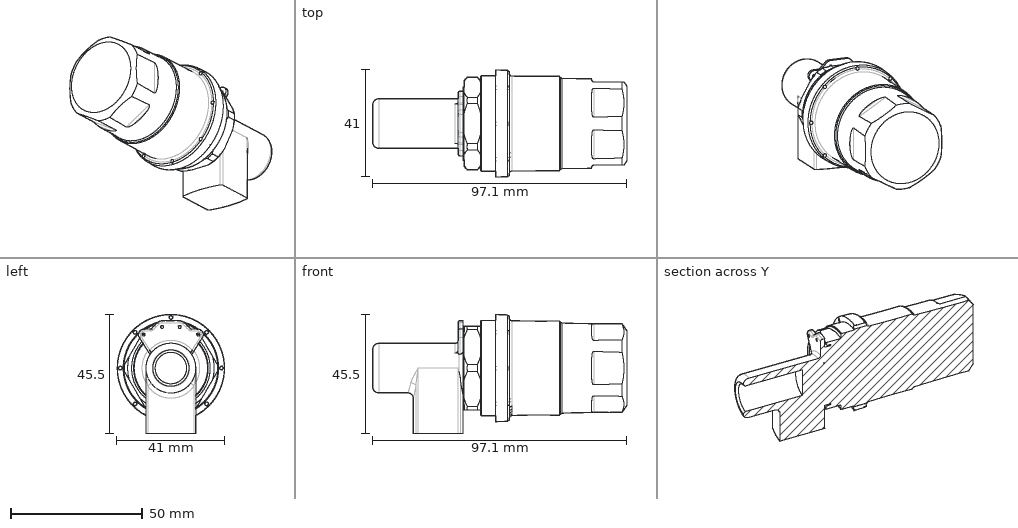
import cadquery as cq
import math

total_length = 97.1

tube_dia = 19.0
tube_end_round = 2.4
ring_overlap = 1.0
bore_dia = 12.0
bore_depth = 25.0
bore_chamfer = 0.9

leg_front_x = 15.5
leg_bottom_z = -25.0
leg_width = tube_dia
leg_bulge = 1.2
leg_edge_round = 0.9
leg_to_tube_round = 2.0

disc_face_x = 34.5
disc_dia = 28.0
disc_fillet = 1.5

nut_front_x = 34.9
nut_across_flats = 32.0
nut_across_corners = 35.4
nut_face_dia = 33.0
nut_chamfer_length = 1.2
nut_bore_dia = 28.5
nut_bore_mouth_dia = 30.0
nut_gap_depth = 2.0

collar_front_x = 41.2
collar_dia = 36.5
collar_chamfer = 0.3
flange_front_x = 46.9
flange_dia = 41.0
flange_chamfer_dia = 40.7
flange_chamfer_x = 51.4
flange_back_x = 52.2
flange_back_dia = 39.6
flange_to_barrel_round = 0.9
barrel_start_dia = 36.3
barrel_end_dia = 36.1
barrel_end_x = 71.3
shoulder_x = 71.6
shoulder_dia = 35.3
cap_start_x = 72.3
cap_start_dia = 34.5
cap_end_dia = 34.0
cap_chamfer_x = 95.2
cap_face_dia = 28.4

flange_hole_dia = 1.3
flange_hole_circle_dia = 38.6
flange_hole_count = 8

cap_flat_count = 6
cap_flat_apothem = 15.9
cap_flat_start_x = 83.6
cap_flat_end_round = 0.8

plate_front_x = 32.6
plate_top_z = 18.1
plate_shoulder_z = 14.9
plate_top_half_width = 4.4
plate_shoulder_half_width = 14.1
plate_base_half_width = 7.2
plate_base_z = 4.0
plate_top_corner_round = 2.4
plate_outer_corner_round = 2.1
plate_inner_corner_round = 0.8
plate_edge_round = 0.8
plate_tube_fillet = 1.1
plate_hole_dia = 1.1
plate_hole_centres = [(3.37, 15.7), (10.4, 12.8)]

plate_thickness = disc_face_x - plate_front_x
barrel_start_x = flange_back_x + flange_to_barrel_round


def cylinder(dia, start_x, end_x):
    return cq.Workplane("YZ", origin=(start_x, 0, 0)).circle(dia / 2).extrude(end_x - start_x)


def revolve_profile(points):
    """Revolve a closed outline of (x, radius) points about the main axis."""
    return cq.Workplane("XY").polyline(points).close().revolve(360, (0, 0, 0), (1, 0, 0))


def make_leg():
    half_width = leg_width / 2
    back_x = disc_face_x
    leg = (
        cq.Workplane("XY", origin=(0, 0, leg_bottom_z))
        .moveTo(leg_front_x + leg_bulge, -half_width)
        .threePointArc((leg_front_x, 0), (leg_front_x + leg_bulge, half_width))
        .lineTo(back_x - leg_bulge, half_width)
        .threePointArc((back_x, 0), (back_x - leg_bulge, -half_width))
        .close()
        .extrude(-leg_bottom_z)
    )
    return leg.edges("|Z").fillet(leg_edge_round)


def make_elbow():
    """Tube and leg, with a concave round along their front junction below the tube."""
    tube = cylinder(tube_dia, 0, disc_face_x).faces("<X").edges().fillet(tube_end_round)
    elbow = tube.union(make_leg())
    junction = cq.selectors.BoxSelector(
        (leg_front_x - leg_bulge, -leg_width / 2, -tube_dia),
        (leg_front_x + leg_bulge, leg_width / 2, -tube_dia / 4),
    )
    return elbow.edges(junction).fillet(leg_to_tube_round)


def make_plate():
    right_side = [
        (plate_top_half_width, plate_top_z),
        (plate_top_half_width + plate_top_z - plate_shoulder_z, plate_shoulder_z),
        (plate_shoulder_half_width, plate_shoulder_z),
        (plate_base_half_width, plate_base_z),
    ]
    left_side = [(-y, z) for y, z in reversed(right_side)]
    plate = (
        cq.Workplane("YZ", origin=(plate_front_x, 0, 0))
        .polyline(right_side + left_side)
        .close()
        .extrude(plate_thickness)
    )
    corner_rounds = [plate_top_corner_round, plate_inner_corner_round, plate_outer_corner_round]
    for (corner_y, corner_z), corner_round in zip(right_side, corner_rounds):
        for side in (-1, 1):
            corner = (plate_front_x + plate_thickness / 2, side * corner_y, corner_z)
            plate = plate.edges(cq.selectors.NearestToPointSelector(corner)).fillet(corner_round)
    plate = plate.faces("<X").edges().fillet(plate_edge_round)
    for y, z in plate_hole_centres:
        holes = (
            cq.Workplane("YZ", origin=(plate_front_x, 0, 0))
            .pushPoints([(y, z), (-y, z)])
            .circle(plate_hole_dia / 2)
            .extrude(plate_thickness)
        )
        plate = plate.cut(holes)
    return plate


def concave_ring(face_x, radius):
    """Ring that fills the corner between the tube and a face at face_x with a concave round."""
    tube_radius = tube_dia / 2
    inner_radius = tube_radius - ring_overlap
    mid = radius * (1 - math.sqrt(0.5))
    return (
        cq.Workplane("XY")
        .moveTo(face_x - radius, inner_radius)
        .lineTo(face_x - radius, tube_radius)
        .threePointArc((face_x - mid, tube_radius + mid), (face_x, tube_radius + radius))
        .lineTo(face_x, inner_radius)
        .close()
        .revolve(360, (0, 0, 0), (1, 0, 0))
    )


def make_plate_fillet():
    """Concave round between the tube and the plate, kept to the width of the plate."""
    start_x = plate_front_x - plate_tube_fillet
    foot_half_width = plate_base_half_width - plate_edge_round
    top_half_width = plate_shoulder_half_width - plate_edge_round
    sector = (
        cq.Workplane("YZ", origin=(start_x, 0, 0))
        .polyline([
            (-foot_half_width, plate_base_z),
            (foot_half_width, plate_base_z),
            (top_half_width, plate_shoulder_z),
            (-top_half_width, plate_shoulder_z),
        ])
        .close()
        .extrude(plate_tube_fillet)
    )
    return concave_ring(plate_front_x, plate_tube_fillet).intersect(sector)


def make_nut():
    corner_dia = nut_across_flats / math.cos(math.pi / 6)
    length = collar_front_x - nut_front_x
    nut = cq.Workplane("YZ", origin=(nut_front_x, 0, 0)).polygon(6, corner_dia).extrude(length)
    for index in range(3):
        truncation = (
            cq.Workplane("XY")
            .box(length, nut_across_corners, 2 * nut_across_corners, centered=(False, True, True))
            .translate((nut_front_x, 0, 0))
            .rotate((0, 0, 0), (1, 0, 0), index * 60)
        )
        nut = nut.intersect(truncation)
    face_radius = nut_face_dia / 2
    corner_radius = nut_across_corners / 2
    chamfer_slope = nut_chamfer_length / (corner_radius - face_radius)
    outer_radius = corner_radius + nut_chamfer_length
    outer_setback = chamfer_slope * (outer_radius - face_radius)
    chamfer_envelope = revolve_profile([
        (nut_front_x, 0),
        (nut_front_x, face_radius),
        (nut_front_x + outer_setback, outer_radius),
        (collar_front_x - outer_setback, outer_radius),
        (collar_front_x, face_radius),
        (collar_front_x, 0),
    ])
    nut = nut.intersect(chamfer_envelope)
    mouth_depth = (nut_bore_mouth_dia - nut_bore_dia) / 2
    gap = revolve_profile([
        (nut_front_x, disc_dia / 2),
        (nut_front_x, nut_bore_mouth_dia / 2),
        (nut_front_x + mouth_depth, nut_bore_dia / 2),
        (nut_front_x + nut_gap_depth, nut_bore_dia / 2),
        (nut_front_x + nut_gap_depth, disc_dia / 2),
    ])
    return nut.cut(gap)


def make_body():
    flange_outline = [
        (collar_front_x, 0),
        (collar_front_x, collar_dia / 2 - collar_chamfer),
        (collar_front_x + collar_chamfer, collar_dia / 2),
        (flange_front_x, collar_dia / 2),
        (flange_front_x, flange_dia / 2),
        (flange_chamfer_x, flange_chamfer_dia / 2),
        (flange_back_x, flange_back_dia / 2),
        (flange_back_x, barrel_start_dia / 2 + flange_to_barrel_round),
    ]
    round_mid = flange_to_barrel_round * (1 - math.sqrt(0.5))
    barrel_and_cap_outline = [
        (barrel_start_x, barrel_start_dia / 2),
        (barrel_end_x, barrel_end_dia / 2),
        (shoulder_x, shoulder_dia / 2),
        (cap_start_x, cap_start_dia / 2),
        (cap_chamfer_x, cap_end_dia / 2),
        (total_length, cap_face_dia / 2),
        (total_length, 0),
    ]
    body = (
        cq.Workplane("XY")
        .polyline(flange_outline)
        .threePointArc(
            (flange_back_x + round_mid, barrel_start_dia / 2 + round_mid),
            barrel_and_cap_outline[0],
        )
        .polyline(barrel_and_cap_outline[1:], includeCurrent=True)
        .close()
        .revolve(360, (0, 0, 0), (1, 0, 0))
    )
    return body.cut(make_flange_holes()).cut(make_cap_flats())


def make_flange_holes():
    return (
        cq.Workplane("YZ", origin=(flange_front_x, 0, 0))
        .polarArray(flange_hole_circle_dia / 2, 0, 360, flange_hole_count)
        .circle(flange_hole_dia / 2)
        .extrude(barrel_start_x - flange_front_x)
    )


def make_cap_flats():
    cutter_length = total_length - cap_flat_start_x
    cutter_height = cap_start_dia / 2
    cutter = (
        cq.Workplane("XY")
        .box(cutter_length, cutter_height, cap_start_dia, centered=(False, False, True))
        .translate((cap_flat_start_x, cap_flat_apothem, 0))
        .edges("<X and <Y")
        .fillet(cap_flat_end_round)
    )
    cutters = cutter
    for index in range(1, cap_flat_count):
        angle = index * 360 / cap_flat_count
        cutters = cutters.union(cutter.rotate((0, 0, 0), (1, 0, 0), angle))
    return cutters


disc = cylinder(disc_dia, disc_face_x, collar_front_x)
bore = cylinder(bore_dia, 0, bore_depth).union(
    revolve_profile([
        (0, 0),
        (0, bore_dia / 2 + bore_chamfer),
        (bore_chamfer, bore_dia / 2),
        (bore_chamfer, 0),
    ])
)

result = (
    make_body()
    .union(make_nut())
    .union(disc)
    .union(make_elbow())
    .union(concave_ring(disc_face_x, disc_fillet))
    .union(make_plate())
    .union(make_plate_fillet())
    .cut(bore)
)